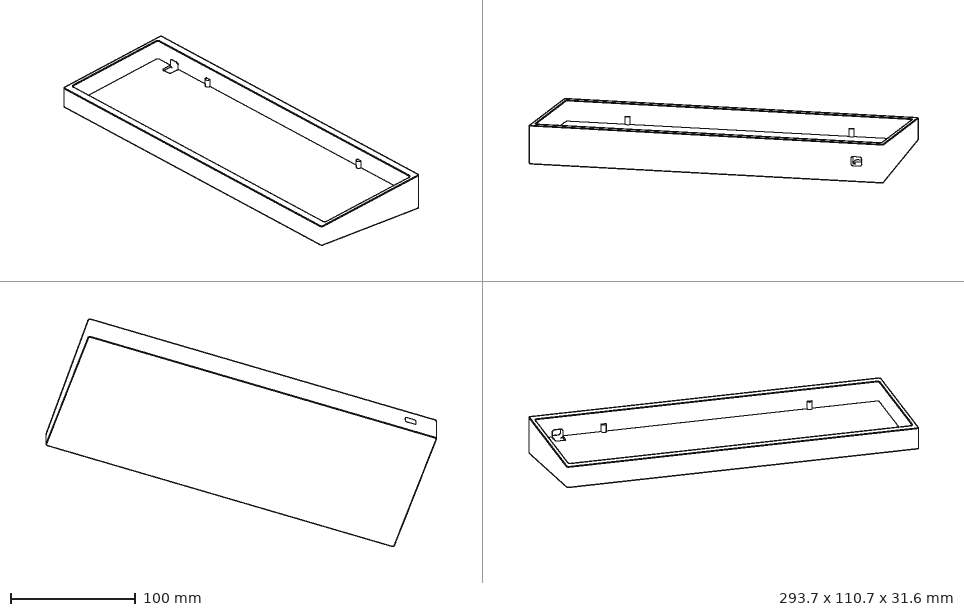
import cadquery as cq

length = 293.7
width = 110.7
back_height = 31.7
front_height = 18.2
corner_radius = 1.8
edge_chamfer = 0.5

side_wall = 3.5
end_wall = 7.0
cavity_depth = 17.0
cavity_corner_radius = 1.8

stud_diameter = 4.0
stud_height = 6.5
back_stud_reach = 2.5
front_stud_reach = 1.8
back_stud_spacing = 171.5
front_stud_spacing = 185.5
stud_middle_x = -0.3

recess_length = 8.8
recess_width = 9.5
recess_depth = 1.8
recess_x = -124.5
recess_corner_radius = 1.8

port_height = 7.5
port_corner_radius = 1.8

floor_z = back_height - cavity_depth
wall_y = width / 2 - end_wall


def make_body():
    profile = [
        (-width / 2, back_height - front_height),
        (-width / 2, back_height),
        (width / 2, back_height),
        (width / 2, 0),
    ]
    wedge = cq.Workplane("YZ").polyline(profile).close().extrude(length / 2, both=True)
    rounded = wedge.edges("|Z").fillet(corner_radius)
    return rounded.faces("<Z").edges().chamfer(edge_chamfer)


def make_cavity():
    return (
        cq.Workplane("XY", origin=(0, 0, floor_z))
        .rect(length - 2 * side_wall, 2 * wall_y)
        .extrude(cavity_depth)
        .edges("|Z")
        .fillet(cavity_corner_radius)
    )


def make_studs(spacing, reach, side):
    """Pair of studs on the back (side = 1) or front (side = -1) wall."""
    radius = stud_diameter / 2
    tip_y = wall_y - reach
    axis_y = tip_y + radius
    root_y = wall_y + end_wall / 2
    stud = (
        cq.Workplane("XY", origin=(0, 0, floor_z))
        .moveTo(-radius, side * root_y)
        .lineTo(-radius, side * axis_y)
        .threePointArc((0, side * tip_y), (radius, side * axis_y))
        .lineTo(radius, side * root_y)
        .close()
        .extrude(stud_height)
    )
    left_x = stud_middle_x - spacing / 2
    right_x = stud_middle_x + spacing / 2
    return stud.translate((left_x, 0, 0)).union(stud.translate((right_x, 0, 0)))


def make_recess():
    return (
        cq.Workplane("XY", origin=(recess_x, wall_y - recess_width / 2, floor_z))
        .rect(recess_length, recess_width)
        .extrude(-recess_depth)
        .edges("|Z and <Y")
        .fillet(recess_corner_radius)
    )


def make_port():
    """Rounded opening through the back wall, level with the recess bottom."""
    middle_z = floor_z - recess_depth + port_height / 2
    return (
        cq.Workplane("XZ", origin=(recess_x, wall_y, middle_z))
        .rect(recess_length, port_height)
        .extrude(-2 * end_wall)
        .edges("|Y")
        .fillet(port_corner_radius)
    )


result = make_body().cut(make_cavity())
result = result.faces(">Z").edges().chamfer(edge_chamfer)
result = result.union(make_studs(back_stud_spacing, back_stud_reach, 1))
result = result.union(make_studs(front_stud_spacing, front_stud_reach, -1))
result = result.cut(make_recess()).cut(make_port())